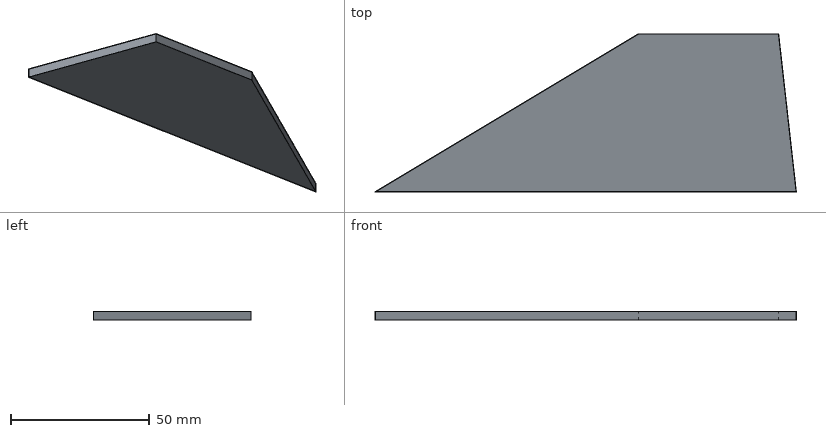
import cadquery as cq

base_length = 152.4
height = 57.2
thickness = 3.2
top_start = 95.2
top_length = 50.7

outline = [
    (0, 0),
    (base_length, 0),
    (top_start + top_length, height),
    (top_start, height),
]

result = cq.Workplane("XY").polyline(outline).close().extrude(thickness)